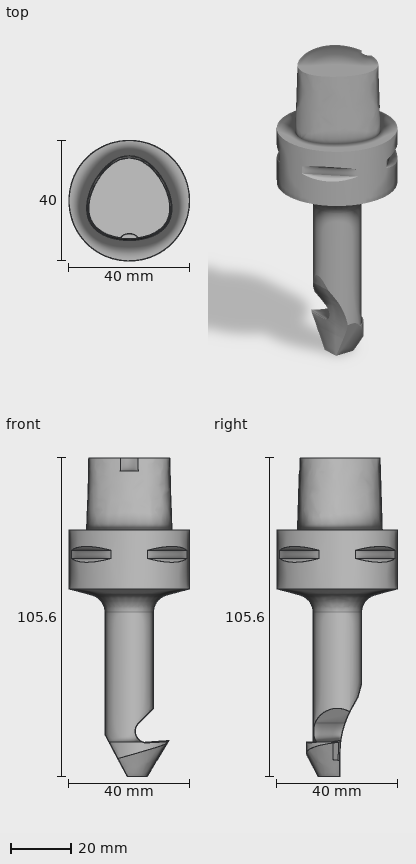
import cadquery as cq
import math

flange_radius = 20.01
flange_top = 81.7
flange_bottom = 62.2
shank_radius = 8.0
neck_cone_angle = 15
neck_fillet = 5.8

total_height = 105.6
lobe_height = 0.8
coupling_base_radius = 14.0
coupling_top_radius = 13.3
lobe_curve_points = 36

notch_radius = 3.7
notch_center_y = -14.6
notch_depth = 4.4

groove_count = 4
groove_floor_distance = 17.7
groove_floor_height = 2.6
groove_flank_angle = 30
groove_center_z = 73.6

head_radius = 10.2
head_offset = 2.4
head_top = 11.5
rake_y = 0.8

clearance_center_x = 0.3
clearance_center_y = -0.7
clearance_base_radius = 5.6
clearance_slope = 0.52
clearance_lean = 0.08

flat_bottom_x = -0.6
flat_top_z = 13.9

gullet_radius = 3.8
gullet_x = 5.8
gullet_z = 15.0

relief_top_z = 30.6
relief_bottom_z = 7.4
relief_arc_radius = 31.7
relief_arc_angle = 27
relief_shoulder_y = 6.9
relief_shoulder_z = 26.4

nose_x = 13.1
nose_z = 11.9
insert_rise = 0.4
insert_side = 7.7
insert_nose_angle = 55
insert_tilt = 4
insert_thickness = 2.3
insert_clearance_angle = 7

cut_margin = 21.1


def coupling_section(mean_radius, z):
    """Closed three-lobed curve with one lobe pointing to +Y."""
    points = []
    for index in range(lobe_curve_points):
        angle = 2 * math.pi * index / lobe_curve_points
        x = -mean_radius * math.sin(angle) + lobe_height * math.sin(2 * angle)
        y = mean_radius * math.cos(angle) + lobe_height * math.cos(2 * angle)
        points.append(cq.Vector(x, y, z))
    return cq.Wire.assembleEdges([cq.Edge.makeSpline(points, periodic=True)])


def make_coupling():
    base = coupling_section(coupling_base_radius, flange_top)
    top = coupling_section(coupling_top_radius, total_height)
    coupling = cq.Workplane(cq.Solid.makeLoft([base, top]))
    notch = (
        cq.Workplane("XY", origin=(0, notch_center_y, total_height - notch_depth))
        .circle(notch_radius)
        .extrude(notch_depth)
    )
    return coupling.cut(notch)


def make_flange_and_shank():
    cone_drop = (flange_radius - shank_radius) * math.tan(math.radians(neck_cone_angle))
    cone_end = flange_bottom - cone_drop
    turned = (
        cq.Workplane("XZ")
        .polyline([
            (0, 0),
            (shank_radius, 0),
            (shank_radius, cone_end),
            (flange_radius, flange_bottom),
            (flange_radius, flange_top),
            (0, flange_top),
        ])
        .close()
        .revolve(360, (0, 0), (0, 1))
    )
    neck = cq.selectors.BoxSelector(
        (-flange_radius, -flange_radius, cone_end - 1.1),
        (flange_radius, flange_radius, cone_end + 1.1),
        boundingbox=False,
    )
    return turned.edges("%CIRCLE").edges(neck).fillet(neck_fillet)


def make_gripper_groove(angle):
    """Trapezoidal groove cutter, widening outward, across one flange side."""
    floor_half = groove_floor_height / 2
    reach = flange_radius + 1.1
    widening = (reach - groove_floor_distance) * math.tan(math.radians(groove_flank_angle))
    mouth_half = floor_half + widening
    return (
        cq.Workplane("XZ")
        .polyline([
            (groove_floor_distance, groove_center_z - floor_half),
            (reach, groove_center_z - mouth_half),
            (reach, groove_center_z + mouth_half),
            (groove_floor_distance, groove_center_z + floor_half),
        ])
        .close()
        .extrude(flange_radius, both=True)
        .rotate((0, 0, 0), (0, 0, 1), angle)
    )


def clearance_section(z):
    """Circular section of the leaning clearance cone at height z."""
    center = cq.Vector(clearance_center_x + clearance_lean * z, clearance_center_y, z)
    radius = clearance_base_radius + clearance_slope * z
    return cq.Wire.makeCircle(radius, center, cq.Vector(0, 0, 1))


def make_clearance_cone():
    """Upward-widening cone that bounds the shank and head from below."""
    sections = [clearance_section(0), clearance_section(relief_top_z)]
    return cq.Workplane(cq.Solid.makeLoft(sections, True))


def make_head():
    return cq.Workplane("XY").center(head_offset, 0).circle(head_radius).extrude(head_top)


def make_side_flat():
    """Wedge cutter that slants the -X side toward the bottom."""
    return (
        cq.Workplane("XZ")
        .polyline([
            (flat_bottom_x, 0),
            (-shank_radius, flat_top_z),
            (-cut_margin, flat_top_z),
            (-cut_margin, 0),
        ])
        .close()
        .extrude(cut_margin, both=True)
    )


def make_gullet():
    """Chip space: a 45 degree ramp, a round end and a floor rising to just below the nose."""
    floor_end_z = nose_z - insert_rise
    diagonal = gullet_radius * math.sqrt(0.5)
    ramp_start = (gullet_x - diagonal, gullet_z + diagonal)
    ramp_end = (cut_margin, ramp_start[1] + cut_margin - ramp_start[0])
    return (
        cq.Workplane("XZ")
        .moveTo(*ramp_end)
        .lineTo(*ramp_start)
        .threePointArc(
            (gullet_x - gullet_radius, gullet_z),
            (gullet_x, gullet_z - gullet_radius),
        )
        .lineTo(nose_x, floor_end_z)
        .lineTo(cut_margin, floor_end_z)
        .close()
        .extrude(cut_margin, both=True)
    )


def relief_arc_point(angle):
    """Point (y, z) on the concave arc that runs into the rake plane."""
    turn = math.radians(angle)
    y = rake_y + relief_arc_radius * (1 - math.cos(turn))
    z = relief_bottom_z + relief_arc_radius * math.sin(turn)
    return (y, z)


def make_rake_relief():
    """Cutter that thins the shank down to the rake plane on the +Y side."""
    shoulder = (relief_shoulder_y, relief_shoulder_z)
    return (
        cq.Workplane("YZ")
        .moveTo(rake_y, 0)
        .lineTo(rake_y, relief_bottom_z)
        .threePointArc(relief_arc_point(relief_arc_angle / 2), relief_arc_point(relief_arc_angle))
        .lineTo(*shoulder)
        .lineTo(shank_radius, relief_top_z)
        .lineTo(cut_margin, relief_top_z)
        .lineTo(cut_margin, 0)
        .close()
        .extrude(cut_margin, both=True)
    )


def make_insert():
    upper = math.radians(180 + insert_tilt)
    flank = math.radians(180 + insert_tilt + insert_nose_angle)
    upper_step = (insert_side * math.cos(upper), insert_side * math.sin(upper))
    flank_step = (insert_side * math.cos(flank), insert_side * math.sin(flank))
    return (
        cq.Workplane("XZ", origin=(0, rake_y, 0))
        .moveTo(nose_x, nose_z)
        .line(*upper_step)
        .line(*flank_step)
        .line(-upper_step[0], -upper_step[1])
        .close()
        .extrude(insert_thickness, taper=insert_clearance_angle)
    )


def make_holder(insert):
    shank = make_flange_and_shank()
    tip_zone = cq.Workplane("XY").circle(2 * cut_margin).extrude(relief_top_z)
    upper_part = shank.cut(tip_zone)
    tip = shank.intersect(tip_zone).union(make_head()).intersect(make_clearance_cone())
    holder = upper_part.union(tip).union(make_coupling())

    holder = holder.cut(make_side_flat()).cut(make_gullet()).cut(make_rake_relief())
    holder = holder.cut(insert)

    spacing = 360 / groove_count
    for index in range(groove_count):
        holder = holder.cut(make_gripper_groove(spacing * (index + 0.5)))
    return holder


insert = make_insert()
holder = make_holder(insert)

result = cq.Compound.makeCompound([holder.val(), insert.val()])